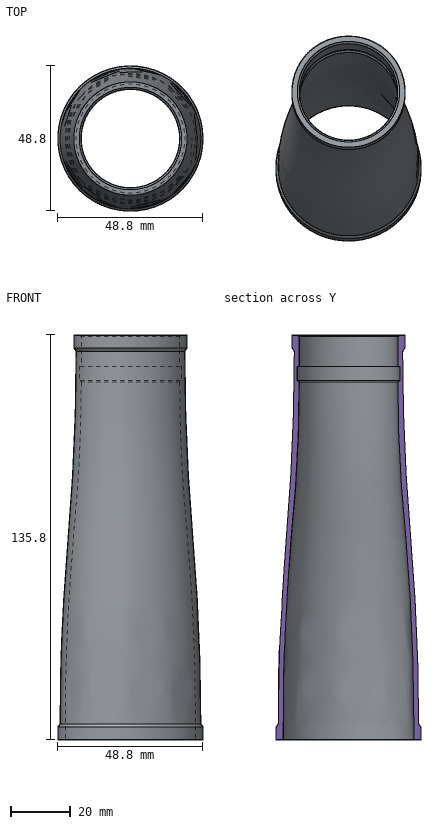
import cadquery as cq
import math

height = 135.8
middle = height / 2

base_rim_radius = 48.8 / 2
base_wall_radius = 23.6
neck_rim_radius = 19.0
neck_wall_radius = 36.5 / 2

band_height = 4.3
shoulder_height = 0.3
shoulder_width = 0.2
rim_height = 5.4

neck_bore_radius = 33.0 / 2
wall_thickness = neck_wall_radius - neck_bore_radius
base_bore_radius = base_wall_radius - wall_thickness

bevel_width = 0.7
bevel_height = 0.5

groove_radius = neck_bore_radius + bevel_width
groove_top = height - 10.6
groove_floor = height - 15.2
passage_top = groove_floor - bevel_height


def arc_midpoint(end_radius, end_z, middle_radius):
    """Point halfway along the arc that is vertical at its end and stops at mid height."""
    rise = middle - end_z
    run = middle_radius - end_radius
    arc_radius = (rise**2 + run**2) / (2 * abs(run))
    half_angle = math.asin(abs(rise) / arc_radius) / 2
    bow = arc_radius * (1 - math.cos(half_angle))
    return (
        end_radius + math.copysign(bow, run),
        end_z + math.copysign(arc_radius * math.sin(half_angle), rise),
    )


def add_flare(outline, base_radius, base_z, neck_radius, neck_z):
    """Continue the outline from the base to the neck with two arcs meeting at mid height."""
    middle_radius = (base_radius + neck_radius) / 2
    outline = outline.threePointArc(
        arc_midpoint(base_radius, base_z, middle_radius), (middle_radius, middle)
    )
    return outline.threePointArc(
        arc_midpoint(neck_radius, neck_z, middle_radius), (neck_radius, neck_z)
    )


def make_body():
    """Solid outer shape, revolved about Z."""
    shoulder_z = band_height + shoulder_height
    outline = (
        cq.Workplane("XZ")
        .moveTo(0, 0)
        .lineTo(base_rim_radius, 0)
        .lineTo(base_rim_radius, band_height)
        .lineTo(base_rim_radius - shoulder_width, shoulder_z)
        .lineTo(base_wall_radius, rim_height)
    )
    outline = add_flare(
        outline, base_wall_radius, rim_height, neck_wall_radius, height - rim_height
    )
    outline = (
        outline.lineTo(neck_rim_radius - shoulder_width, height - shoulder_z)
        .lineTo(neck_rim_radius, height - band_height)
        .lineTo(neck_rim_radius, height)
        .lineTo(0, height)
        .close()
    )
    return outline.revolve(360, (0, 0), (0, 1))


def make_passage():
    """Through passage with the groove and the beveled neck mouth, revolved about Z."""
    outline = (
        cq.Workplane("XZ")
        .moveTo(0, 0)
        .lineTo(base_bore_radius, 0)
        .lineTo(base_bore_radius, rim_height)
    )
    outline = add_flare(
        outline, base_bore_radius, rim_height, neck_bore_radius, passage_top
    )
    outline = (
        outline.lineTo(groove_radius, groove_floor)
        .lineTo(groove_radius, groove_top)
        .lineTo(neck_bore_radius, groove_top)
        .lineTo(neck_bore_radius, height - bevel_height)
        .lineTo(neck_bore_radius + bevel_width, height)
        .lineTo(0, height)
        .close()
    )
    return outline.revolve(360, (0, 0), (0, 1))


result = make_body().cut(make_passage())